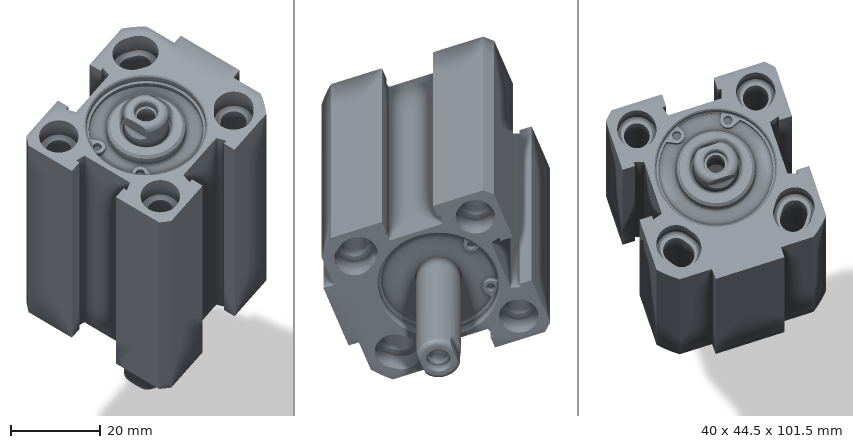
import cadquery as cq
import math


body_height = 64.4
half_width = 20.0
back_shoulder = 22.0
pad_back = 24.5
pad_half_width = 8.1
back_corner_radius = 27.1
front_chamfer = 1.9

side_slot_floor = 14.8
front_slot_floor = 14.9
slot_ledge = 17.1
slot_mouth_half = 6.1
slot_undercut_half = 7.0
slot_floor_half = 6.3

bolt_offset = 14.0
bolt_diameter = 5.8
counterbore_diameter = 8.8
counterbore_depth = 5.5
slotted_end_x = 13.1
slotted_end_y = 15.3

bore_diameter = 27.0
bore_mouth_chamfer = 0.3
groove_diameter = 29.5
ring_diameter = 28.4
ring_inner_diameter = 25.8
ring_inset = 1.9
ring_thickness = 1.2
recess_depth = ring_inset + ring_thickness
ear_radius = 1.7
ear_hole_diameter = 2.0
ear_distance = 11.9
ear_half_angle = 30.4
ring_turn = -1.0
ear_taper_reach = 2.6

cover_diameter = 26.9
cover_thickness = 8.1
boss_diameter = 17.5
boss_height = 2.9
boss_chamfer = 0.6
boss_foot_chamfer = 0.3
rod_hole_diameter = 10.5
rod_recess_diameter = 11.4
rod_recess_depth = 1.0
rod_recess_chamfer = 0.3

rod_diameter = 10.0
rod_length = 101.5
rod_bottom = -31.7
rod_top = rod_bottom + rod_length
rod_end_fillet = 1.3
flat_half_spacing = 4.0
flat_length = 3.5
thread_diameter = 4.2
thread_relief_diameter = 5.3
thread_relief_depth = 2.0
thread_relief_chamfer = 0.3
thread_depth = 10.2
drill_point_angle = 118.0

cut_margin = 1.0


def cylinder(diameter, bottom, height):
    return cq.Workplane("XY").workplane(offset=bottom).circle(diameter / 2).extrude(height)


def cone(bottom_diameter, top_diameter, bottom, height):
    return cq.Workplane(
        cq.Solid.makeCone(bottom_diameter / 2, top_diameter / 2, height, cq.Vector(0, 0, bottom))
    )


def body_outline():
    """Solid prism with front chamfers, rounded back corners and the raised back pad."""
    arc_side_y = math.sqrt(back_corner_radius**2 - half_width**2)
    arc_back_x = math.sqrt(back_corner_radius**2 - back_shoulder**2)
    arc_middle = math.radians(
        (math.degrees(math.atan2(arc_side_y, half_width))
         + math.degrees(math.atan2(back_shoulder, arc_back_x))) / 2
    )
    arc_mid_x = back_corner_radius * math.cos(arc_middle)
    arc_mid_y = back_corner_radius * math.sin(arc_middle)
    return (
        cq.Workplane("XY")
        .moveTo(-half_width + front_chamfer, -half_width)
        .lineTo(half_width - front_chamfer, -half_width)
        .lineTo(half_width, -half_width + front_chamfer)
        .lineTo(half_width, arc_side_y)
        .threePointArc((arc_mid_x, arc_mid_y), (arc_back_x, back_shoulder))
        .lineTo(pad_half_width, back_shoulder)
        .lineTo(pad_half_width, pad_back)
        .lineTo(-pad_half_width, pad_back)
        .lineTo(-pad_half_width, back_shoulder)
        .lineTo(-arc_back_x, back_shoulder)
        .threePointArc((-arc_mid_x, arc_mid_y), (-half_width, arc_side_y))
        .lineTo(-half_width, -half_width + front_chamfer)
        .close()
        .extrude(body_height)
    )


def sensor_slot(angle, floor):
    """Full-height undercut slot, drawn for the +X side and turned about the rod axis."""
    upper_half = [
        (half_width + cut_margin, slot_mouth_half),
        (slot_ledge, slot_mouth_half),
        (slot_ledge, slot_undercut_half),
        (floor, slot_floor_half),
    ]
    lower_half = [(x, -y) for x, y in reversed(upper_half)]
    slot = cq.Workplane("XY").polyline(upper_half + lower_half).close().extrude(body_height)
    return slot.rotate((0, 0, 0), (0, 0, 1), angle)


def round_hole(x, y, diameter, bottom, height):
    return cylinder(diameter, bottom, height).translate((x, y, 0))


def slotted_hole(side, diameter, bottom, height):
    """Elongated back hole; side is -1 for -X and +1 for +X."""
    start_x = side * bolt_offset
    end_x = side * slotted_end_x
    shift_x = end_x - start_x
    shift_y = slotted_end_y - bolt_offset
    spacing = math.hypot(shift_x, shift_y)
    direction = math.degrees(math.atan2(shift_y, shift_x))
    return (
        cq.Workplane("XY")
        .workplane(offset=bottom)
        .center((start_x + end_x) / 2, (bolt_offset + slotted_end_y) / 2)
        .slot2D(spacing + diameter, diameter, direction)
        .extrude(height)
    )


def cut_mounting_holes(body):
    """Four through holes, counterbored from both ends."""
    stages = [
        (bolt_diameter, 0, body_height),
        (counterbore_diameter, 0, counterbore_depth),
        (counterbore_diameter, body_height - counterbore_depth, counterbore_depth),
    ]
    for side in (-1, 1):
        for diameter, bottom, height in stages:
            body = body.cut(round_hole(side * bolt_offset, -bolt_offset, diameter, bottom, height))
            body = body.cut(slotted_hole(side, diameter, bottom, height))
    return body


def mouth_cone(hole_diameter, chamfer, face):
    """Cutter that chamfers the mouth of a hole opening upward at height face."""
    return cone(hole_diameter, hole_diameter + 2 * chamfer, face - chamfer, chamfer)


lower_ring_bottom = ring_inset
upper_ring_bottom = body_height - recess_depth
cover_face = upper_ring_bottom
cover_bottom = cover_face - cover_thickness


def make_body():
    body = body_outline()
    for angle, floor in ((0, side_slot_floor), (180, side_slot_floor), (270, front_slot_floor)):
        body = body.cut(sensor_slot(angle, floor))
    body = cut_mounting_holes(body)
    body = body.cut(cylinder(rod_hole_diameter, 0, body_height))
    body = body.cut(cylinder(bore_diameter, 0, recess_depth))
    body = body.cut(cylinder(bore_diameter, cover_bottom, body_height - cover_bottom))
    mouth = mouth_cone(bore_diameter, bore_mouth_chamfer, body_height)
    body = body.cut(mouth).cut(mouth.mirror("XY", (0, 0, body_height / 2)))
    for bottom in (lower_ring_bottom, upper_ring_bottom):
        body = body.cut(cylinder(groove_diameter, bottom, ring_thickness))
    return body


def ring_ear(side):
    """Rounded ear whose radial axis is turned to one side of the ring opening at -Y."""
    taper_distance = math.sqrt((ring_inner_diameter / 2) ** 2 - ear_taper_reach**2)
    taper_drop = ear_distance - taper_distance
    reach = math.hypot(taper_drop, ear_taper_reach)
    tangent_angle = math.atan2(taper_drop, ear_taper_reach) + math.acos(ear_radius / reach)
    tangent_x = ear_radius * math.cos(tangent_angle)
    tangent_y = -ear_distance + ear_radius * math.sin(tangent_angle)
    web = (
        cq.Workplane("XY")
        .polyline([
            (-ear_radius, -ear_distance),
            (tangent_x, tangent_y),
            (ear_taper_reach, -taper_distance),
            (ear_taper_reach, -ring_diameter / 2),
            (-ear_radius, -ring_diameter / 2),
        ])
        .close()
        .extrude(ring_thickness)
    )
    disc = round_hole(0, -ear_distance, 2 * ear_radius, 0, ring_thickness)
    hole = round_hole(0, -ear_distance, ear_hole_diameter, 0, ring_thickness)
    ear = web.union(disc).cut(hole)
    if side < 0:
        ear = ear.mirror("YZ")
    return ear.rotate((0, 0, 0), (0, 0, 1), side * ear_half_angle)


def make_retaining_ring(bottom):
    """Open ring with an ear at each end of its opening."""
    opening_reach = ring_diameter
    opening_side = opening_reach * math.tan(math.radians(ear_half_angle))
    opening = (
        cq.Workplane("XY")
        .polyline([(0, 0), (opening_side, -opening_reach), (-opening_side, -opening_reach)])
        .close()
        .extrude(ring_thickness)
    )
    disc = cylinder(ring_diameter, 0, ring_thickness)
    ring = disc.cut(cylinder(ring_inner_diameter, 0, ring_thickness)).cut(opening)
    for side in (-1, 1):
        ring = ring.union(ring_ear(side))
    ring = ring.intersect(disc)
    return ring.rotate((0, 0, 0), (0, 0, 1), ring_turn).translate((0, 0, bottom))


def make_cover():
    """Rod cover with a chamfered boss and a stepped rod hole."""
    boss_top = cover_face + boss_height
    foot_diameter = boss_diameter + 2 * boss_foot_chamfer
    boss = cylinder(boss_diameter, cover_face, boss_height).faces(">Z").chamfer(boss_chamfer)
    return (
        cylinder(cover_diameter, cover_bottom, cover_thickness)
        .union(boss)
        .union(cone(foot_diameter, boss_diameter, cover_face, boss_foot_chamfer))
        .cut(cylinder(rod_hole_diameter, cover_bottom, cover_thickness + boss_height))
        .cut(cylinder(rod_recess_diameter, boss_top - rod_recess_depth, rod_recess_depth))
        .cut(mouth_cone(rod_recess_diameter, rod_recess_chamfer, boss_top))
    )


def wrench_flat():
    """Cutter for the top +Y flat; its inner end runs out at 45 degrees."""
    flat_end = rod_top - flat_length
    flat_depth = rod_diameter / 2 - flat_half_spacing + cut_margin
    return (
        cq.Workplane("YZ")
        .polyline([
            (flat_half_spacing, rod_top + cut_margin),
            (flat_half_spacing, flat_end),
            (flat_half_spacing + flat_depth, flat_end - flat_depth),
            (flat_half_spacing + flat_depth, rod_top + cut_margin),
        ])
        .close()
        .extrude(rod_diameter / 2, both=True)
    )


def threaded_hole():
    """Cutter for the top end hole, with a wider chamfered start and a drill point."""
    point_length = thread_diameter / 2 / math.tan(math.radians(drill_point_angle / 2))
    floor = rod_top - thread_depth
    return (
        cylinder(thread_diameter, floor, thread_depth)
        .union(cylinder(thread_relief_diameter, rod_top - thread_relief_depth, thread_relief_depth))
        .union(mouth_cone(thread_relief_diameter, thread_relief_chamfer, rod_top))
        .union(cone(0, thread_diameter, floor - point_length, point_length))
    )


def make_rod():
    """Plain rod with the same rounded, flatted and drilled end at top and bottom."""
    rod_middle = (0, 0, (rod_top + rod_bottom) / 2)
    rod = cylinder(rod_diameter, rod_bottom, rod_length).faces("<Z or >Z").edges().fillet(rod_end_fillet)
    for cutter in (wrench_flat(), wrench_flat().mirror("XZ"), threaded_hole()):
        rod = rod.cut(cutter)
        rod = rod.cut(cutter.mirror("XY", rod_middle))
    return rod


body = make_body()
rod = make_rod()
cover = make_cover()
retaining_rings = [make_retaining_ring(bottom) for bottom in (lower_ring_bottom, upper_ring_bottom)]

result = cq.Compound.makeCompound(
    [body.val(), rod.val(), cover.val()] + [ring.val() for ring in retaining_rings]
)